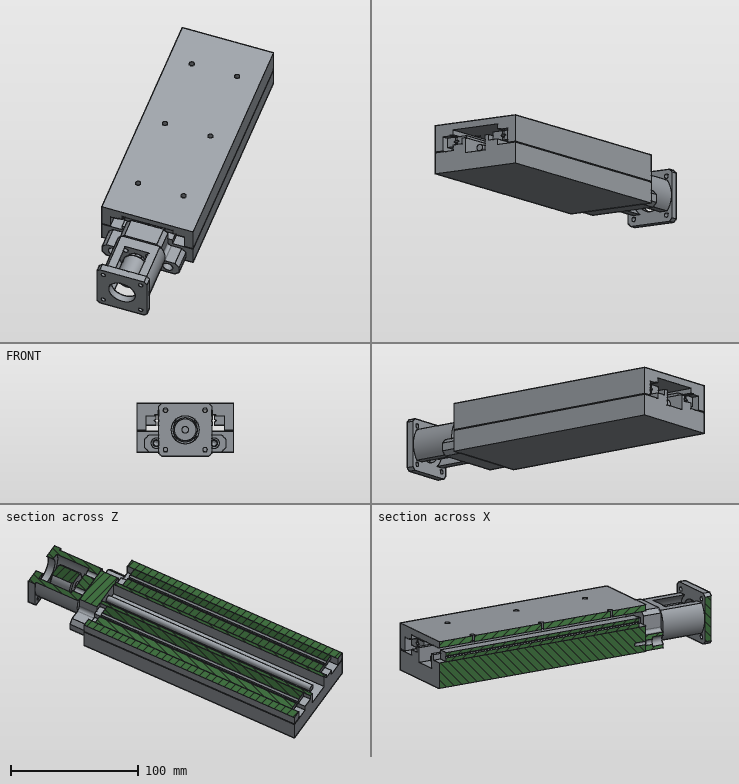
import cadquery as cq


total_length = 250.7
flange_thickness = 6.0
web_front = 35.0
block_front = 44.0
stage_front = 60.2
stage_length = total_length - stage_front
rail_inset = 6.3
rail_length = stage_length - 2 * rail_inset

flange_size = 41.9

stage_width = 76.2
table_top = flange_size / 2
table_bottom = -0.3
table_roof = 15.5
roof_slot_width = 42.4
relief_width = 48.1
relief_depth = 0.63
table_hole_diameter = 4.0
table_hole_pitch_x = 37.9
table_hole_pitch_y = 63.5

rail_bottom = 3.5
rail_top = 11.0
rail_mid = (rail_bottom + rail_top) / 2
table_rail_outer = 30.8
table_rail_inner = 22.8
base_rail_outer = 21.5
base_rail_inner = 12.5
vee_half_height = 1.3
vee_depth = 1.5

base_bottom = -17.8
base_top = -1.0
ledge_width = 42.0
column_top = 8.0
channel_width = 18.5
channel_floor = -4.0

foot_width = 64.2
foot_top = -4.0
foot_bottom = -17.3
head_width = 34.0
head_top = 14.0
corner_chamfer = 3.5
root_radius = base_top - foot_top

bolt_pitch = 45.5
bolt_z = -10.5
counterbore_diameter = 8.3
counterbore_depth = 10.0
clearance_diameter = 5.5
tapped_diameter = 4.5
tapped_depth = 10.0
drill_tip_depth = 1.3

flange_chamfer = 2.5
flange_hole_diameter = 3.5
flange_hole_pitch = 31.0
pilot_diameter = 22.0
barrel_diameter = 40.9
barrel_height = 24.8
cavity_diameter = 31.3
web_bore_diameter = 14.0
web_hole_diameter = 4.5
web_hole_pitch_x = 19.0
web_hole_pitch_z = 15.0

coupling_diameter = 19.0
coupling_front = 12.8
coupling_length = 19.0
coupling_chamfer = 1.0
screw_diameter = 5.3
screw_front = 22.5
screw_end = total_length - rail_inset


def box(width, y_start, y_end, z_low, z_high):
    """Box centred on X = 0."""
    solid = cq.Workplane("XY").box(width, y_end - y_start, z_high - z_low, centered=(True, False, False))
    return solid.translate((0, y_start, z_low))


def plane_at(y):
    """XZ sketch plane at a station along Y; extrusions run toward +Y."""
    return cq.Workplane("XZ", origin=(0, y, 0))


def cylinder(diameter, y_start, y_end, x=0.0, z=0.0):
    """Cylinder parallel to Y."""
    return plane_at(y_start).center(x, z).circle(diameter / 2).extrude(y_start - y_end)


def make_table():
    table = box(stage_width, stage_front, total_length, table_bottom, table_top)
    table = table.cut(box(2 * table_rail_outer, stage_front, total_length, table_bottom, rail_top))
    table = table.cut(box(relief_width, stage_front, total_length, rail_top, rail_top + relief_depth))
    table = table.cut(box(roof_slot_width, stage_front, total_length, rail_top, table_roof))
    holes = (
        cq.Workplane("XY", origin=(0, stage_front + stage_length / 2, table_roof))
        .rarray(table_hole_pitch_x, table_hole_pitch_y, 2, 3)
        .circle(table_hole_diameter / 2)
        .extrude(table_top - table_roof)
    )
    return table.cut(holes)


def make_base():
    base = box(stage_width, stage_front, total_length, base_bottom, base_top)
    base = base.union(box(ledge_width, stage_front, total_length, base_top, rail_bottom))
    base = base.union(box(2 * base_rail_inner, stage_front, total_length, rail_bottom, column_top))
    base = base.cut(box(channel_width, stage_front, total_length, channel_floor, column_top))
    tip_start = stage_front + tapped_depth
    for side in (-1, 1):
        x = side * bolt_pitch / 2
        tip = cq.Solid.makeCone(
            tapped_diameter / 2, 0, drill_tip_depth,
            pnt=cq.Vector(x, tip_start, bolt_z), dir=cq.Vector(0, 1, 0),
        )
        base = base.cut(cylinder(tapped_diameter, stage_front, tip_start, x, bolt_z))
        base = base.cut(cq.Workplane(tip))
    return base


def make_rail(back_x, vee_x, side):
    """Rail from its mounting face at back_x to its grooved face at vee_x, on one side of the stage."""
    toward_back = 1 if back_x > vee_x else -1
    vee_root = vee_x + toward_back * vee_depth
    outline = [
        (back_x, rail_bottom),
        (vee_x, rail_bottom),
        (vee_x, rail_mid - vee_half_height),
        (vee_root, rail_mid),
        (vee_x, rail_mid + vee_half_height),
        (vee_x, rail_top),
        (back_x, rail_top),
    ]
    points = [(side * x, z) for x, z in outline]
    return plane_at(stage_front + rail_inset).polyline(points).close().extrude(-rail_length)


def make_end_block():
    head_half = head_width / 2
    foot_half = foot_width / 2
    half_outline = (
        plane_at(block_front)
        .moveTo(0, head_top)
        .lineTo(head_half - corner_chamfer, head_top)
        .lineTo(head_half, head_top - corner_chamfer)
        .lineTo(head_half, foot_top + root_radius)
        .radiusArc((head_half + root_radius, foot_top), -root_radius)
        .lineTo(foot_half - corner_chamfer, foot_top)
        .lineTo(foot_half, foot_top - corner_chamfer)
        .lineTo(foot_half, foot_bottom + corner_chamfer)
        .lineTo(foot_half - corner_chamfer, foot_bottom)
        .lineTo(0, foot_bottom)
    )
    block = half_outline.mirrorY().extrude(block_front - stage_front)
    block = block.cut(cylinder(screw_diameter, block_front, stage_front))
    for side in (-1, 1):
        x = side * bolt_pitch / 2
        counterbore_end = block_front + counterbore_depth
        block = block.cut(cylinder(counterbore_diameter, block_front, counterbore_end, x, bolt_z))
        block = block.cut(cylinder(clearance_diameter, block_front, stage_front, x, bolt_z))
    return block


def make_bracket():
    flange = box(flange_size, 0, flange_thickness, -flange_size / 2, flange_size / 2)
    flange = flange.edges("|Y").chamfer(flange_chamfer)
    barrel = cylinder(barrel_diameter, flange_thickness, block_front)
    flats = box(barrel_diameter, flange_thickness, block_front, -barrel_height / 2, barrel_height / 2)
    bracket = flange.union(barrel.intersect(flats))
    bracket = bracket.cut(cylinder(pilot_diameter, 0, flange_thickness))
    bracket = bracket.cut(cylinder(cavity_diameter, flange_thickness, web_front))
    bracket = bracket.cut(cylinder(web_bore_diameter, web_front, block_front))
    web_holes = (
        plane_at(web_front)
        .rarray(web_hole_pitch_x, web_hole_pitch_z, 2, 2)
        .circle(web_hole_diameter / 2)
        .extrude(web_front - block_front)
    )
    flange_holes = (
        plane_at(0)
        .rarray(flange_hole_pitch, flange_hole_pitch, 2, 2)
        .circle(flange_hole_diameter / 2)
        .extrude(-flange_thickness)
    )
    return bracket.cut(web_holes).cut(flange_holes)


def make_coupling():
    coupling_back = coupling_front + coupling_length
    coupling = cylinder(coupling_diameter, coupling_front, coupling_back)
    coupling = coupling.faces("<Y or >Y").chamfer(coupling_chamfer)
    return coupling.cut(cylinder(screw_diameter, coupling_front, coupling_back))


def make_screw():
    return cylinder(screw_diameter, screw_front, screw_end)


table = make_table()
base = make_base()
table_rails = [make_rail(table_rail_outer, table_rail_inner, side) for side in (-1, 1)]
base_rails = [make_rail(base_rail_inner, base_rail_outer, side) for side in (-1, 1)]
end_block = make_end_block()
bracket = make_bracket()
coupling = make_coupling()
screw = make_screw()

result = cq.Compound.makeCompound([
    table.val(),
    base.val(),
    *[rail.val() for rail in table_rails],
    *[rail.val() for rail in base_rails],
    end_block.val(),
    bracket.val(),
    coupling.val(),
    screw.val(),
])